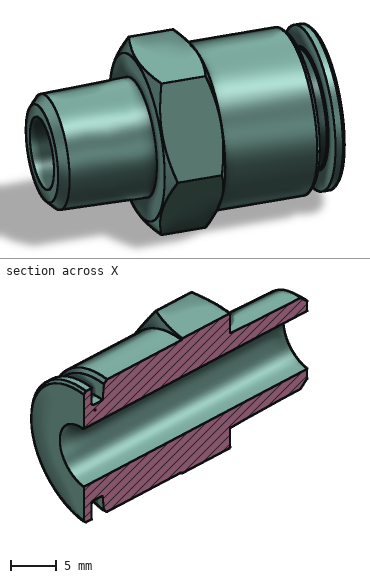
import cadquery as cq
import math

total_length = 31.9
bore_radius = 4.05

thread_base_radius = 6.7
thread_end_radius = 6.45
thread_chamfer = 1.0

hex_start = 10.97
hex_length = 7.0
hex_end = hex_start + hex_length
hex_across_flats = 19.0
hex_corner_radius = hex_across_flats / math.sqrt(3)
hex_chamfer_radius = 9.35
hex_chamfer_angle = math.radians(30)

body_radius = 9.35
body_end = 29.03
body_chamfer = 0.45
body_cone_height = 0.2

neck_radius = 6.75
neck_chamfer = 0.15
flange_radius = 9.25
flange_thickness = 1.18
flange_chamfer = 0.32
flange_start = total_length - flange_thickness


def revolve_about_y(outline):
    """Revolve a closed (radius, y) outline about the Y axis."""
    return cq.Workplane("XY").polyline(outline).close().revolve(360, (0, 0), (0, 1))


def make_turned_body():
    return revolve_about_y([
        (0, 0),
        (thread_end_radius - thread_chamfer, 0),
        (thread_end_radius, thread_chamfer),
        (thread_base_radius, hex_start),
        (body_radius, hex_start),
        (body_radius, body_end - body_chamfer),
        (body_radius - body_chamfer, body_end),
        (neck_radius, body_end + body_cone_height),
        (neck_radius, flange_start - neck_chamfer),
        (neck_radius + neck_chamfer, flange_start),
        (flange_radius, flange_start),
        (flange_radius, total_length - flange_chamfer),
        (flange_radius - flange_chamfer, total_length),
        (0, total_length),
    ])


def make_hexagon():
    """Hexagonal prism with flats facing +-Z and corners chamfered at both ends."""
    prism = (
        cq.Workplane("XZ", origin=(0, hex_start, 0))
        .polygon(6, 2 * hex_corner_radius)
        .extrude(-hex_length)
    )
    chamfer_drop = (hex_corner_radius - hex_chamfer_radius) * math.tan(hex_chamfer_angle)
    chamfer_envelope = revolve_about_y([
        (0, hex_start),
        (hex_chamfer_radius, hex_start),
        (hex_corner_radius, hex_start + chamfer_drop),
        (hex_corner_radius, hex_end - chamfer_drop),
        (hex_chamfer_radius, hex_end),
        (0, hex_end),
    ])
    return prism.intersect(chamfer_envelope)


def make_bore():
    return cq.Workplane("XZ").circle(bore_radius).extrude(-total_length)


result = make_turned_body().union(make_hexagon()).cut(make_bore())